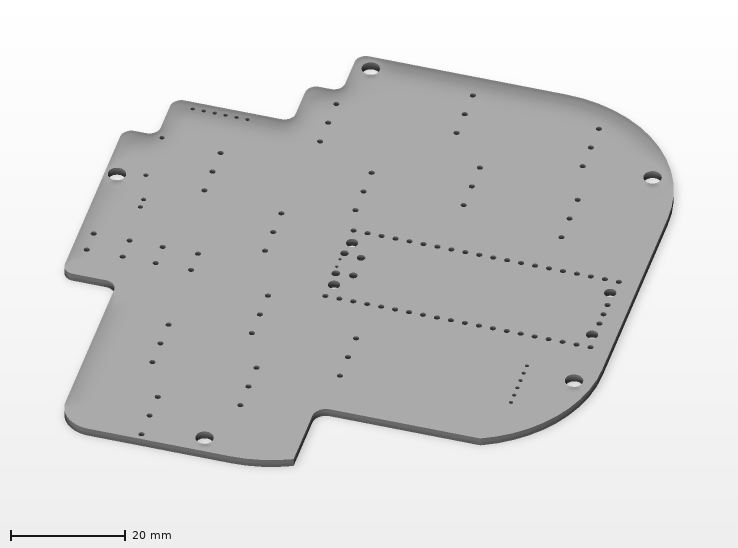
import cadquery as cq
import math

length = 107.2
width = 97.9
thickness = 1.6
top = length / 2
bottom = -length / 2
right = width / 2
left = -width / 2

lower_step_x = -42.8
middle_step_x = -21.1
upper_step_x = -15.0
lower_step_y = 23.5
middle_step_y = 33.6
upper_step_y = 43.5

left_notch_x = -38.8
left_notch_y = -15.4
right_notch_x = 3.6
right_notch_y = -37.0

step_radius = 2.0
right_notch_radius = 2.5
foot_radius = 5.7
upper_sweep_radius = 26.0
upper_sweep_x = right - upper_sweep_radius
upper_sweep_y = top - upper_sweep_radius
lower_sweep_radius = 25.4
lower_sweep_x = right - lower_sweep_radius
lower_sweep_y = -13.6
foot_sweep_radius = 26.0
foot_sweep_x = -7.2
foot_sweep_y = bottom + foot_sweep_radius

screw_diameter = 3.2
module_mount_diameter = 2.1
usb_peg_diameter = 1.5
pin_diameter = 1.1
lead_diameter = 0.9
connector_diameter = 0.8
usb_pin_diameter = 0.6

screw_points = [(-11.8, 50.6), (43.4, 37.0), (-46.7, 11.8), (45.0, -17.9), (-12.9, -50.2)]

triple_span = 10.2
triple_centers = [
    (7.3, 43.7),
    (30.9, 41.5),
    (-15.0, 35.0),
    (13.7, 25.9),
    (32.5, 22.6),
    (-4.1, 19.4),
    (-30.9, 17.0),
    (-16.3, 4.8),
    (-12.5, -16.5),
    (5.4, -22.9),
    (-27.1, -28.6),
    (-9.2, -35.2),
    (-23.7, -47.3),
]

grid_columns = [-46.3, -39.8, -33.8, -27.3]
grid_rows = [-4.3, -8.7]

lead_pairs = [(-41.8, 18.0, 10.2), (-40.4, 5.7, 2.0)]

connector_pins = 6
connector_span = 10.0
top_connector_center = (-33.8, 31.8)
side_connector_center = (36.0, -21.4)

module_x = 21.2
module_y = 0.2
header_pins = 20
header_length = 48.2
header_pitch = header_length / (header_pins - 1)
header_row_spacing = 17.8
mount_spacing_x = 47.0
mount_spacing_y = 11.4
end_header_x = 45.1
end_header_pins = 3
usb_outer_x = -2.8
usb_outer_spacing = 5.5
usb_inner_x = 0.3
usb_inner_spacing = 4.8
usb_pin_x = -3.1
usb_pin_spacing = 2.0


def arc_point(center_x, center_y, radius, angle):
    """Point on a circle at an angle in degrees, counter-clockwise from +X."""
    turn = math.radians(angle)
    return (center_x + radius * math.cos(turn), center_y + radius * math.sin(turn))


def line_of_points(center, span, count, along_x=False):
    """Evenly spaced points on a line parallel to X or Y."""
    x, y = center
    offsets = [span * (i / (count - 1) - 0.5) for i in range(count)]
    if along_x:
        return [(x + offset, y) for offset in offsets]
    return [(x, y + offset) for offset in offsets]


def round_corner(body, corner, radius):
    """Fillet the upright edge at one corner of the outline."""
    x, y = corner
    edge = body.edges("|Z").edges(cq.selectors.NearestToPointSelector((x, y, 0)))
    return edge.fillet(radius)


def board_blank():
    """Plate with the stepped, large-radius outline and rounded steps."""
    upper_middle = arc_point(upper_sweep_x, upper_sweep_y, upper_sweep_radius, 45)
    notch_angle = math.degrees(math.asin((right_notch_y - lower_sweep_y) / lower_sweep_radius))
    notch_end = arc_point(lower_sweep_x, lower_sweep_y, lower_sweep_radius, notch_angle)
    notch_middle = arc_point(lower_sweep_x, lower_sweep_y, lower_sweep_radius, notch_angle / 2)
    foot_angle = -math.degrees(math.acos((right_notch_x - foot_sweep_x) / foot_sweep_radius))
    foot_start = arc_point(foot_sweep_x, foot_sweep_y, foot_sweep_radius, foot_angle)
    foot_middle = arc_point(foot_sweep_x, foot_sweep_y, foot_sweep_radius, (foot_angle - 90) / 2)

    blank = (
        cq.Workplane("XY")
        .workplane(offset=-thickness / 2)
        .moveTo(upper_step_x, top)
        .lineTo(upper_sweep_x, top)
        .threePointArc(upper_middle, (right, upper_sweep_y))
        .lineTo(right, lower_sweep_y)
        .threePointArc(notch_middle, notch_end)
        .lineTo(right_notch_x, right_notch_y)
        .lineTo(*foot_start)
        .threePointArc(foot_middle, (foot_sweep_x, bottom))
        .lineTo(left_notch_x, bottom)
        .lineTo(left_notch_x, left_notch_y)
        .lineTo(left, left_notch_y)
        .lineTo(left, lower_step_y)
        .lineTo(lower_step_x, lower_step_y)
        .lineTo(lower_step_x, middle_step_y)
        .lineTo(middle_step_x, middle_step_y)
        .lineTo(middle_step_x, upper_step_y)
        .lineTo(upper_step_x, upper_step_y)
        .close()
        .extrude(thickness)
    )
    step_corners = [
        (upper_step_x, top),
        (upper_step_x, upper_step_y),
        (middle_step_x, upper_step_y),
        (middle_step_x, middle_step_y),
        (lower_step_x, middle_step_y),
        (lower_step_x, lower_step_y),
        (left, lower_step_y),
        (left, left_notch_y),
        (left_notch_x, left_notch_y),
    ]
    for corner in step_corners:
        blank = round_corner(blank, corner, step_radius)
    blank = round_corner(blank, (right_notch_x, right_notch_y), right_notch_radius)
    return round_corner(blank, (left_notch_x, bottom), foot_radius)


def drill(body, points, diameter):
    """Cut round holes through the full thickness."""
    cutters = (
        cq.Workplane("XY")
        .workplane(offset=-thickness)
        .pushPoints(points)
        .circle(diameter / 2)
        .extrude(2 * thickness)
    )
    return body.cut(cutters)


def pin_points():
    """Holes of the three-pin parts and the two-row grid."""
    points = [(x, y) for x in grid_columns for y in grid_rows]
    for center in triple_centers:
        points += line_of_points(center, triple_span, 3)
    return points


def lead_points():
    """Holes of the two-lead parts."""
    points = []
    for x, y, spacing in lead_pairs:
        points += line_of_points((x, y), spacing, 2)
    return points


def connector_points():
    """Holes of the two six-pin connectors."""
    top_row = line_of_points(top_connector_center, connector_span, connector_pins, along_x=True)
    return top_row + line_of_points(side_connector_center, connector_span, connector_pins)


def module_pin_points():
    """Two long pin rows and the short header at the +X end of the module."""
    end_header_length = header_pitch * (end_header_pins - 1)
    points = line_of_points((end_header_x, module_y), end_header_length, end_header_pins)
    for side in (-1, 1):
        row_center = (module_x, module_y + side * header_row_spacing / 2)
        points += line_of_points(row_center, header_length, header_pins, along_x=True)
    return points


def module_mount_points():
    """Four mounting holes at the corners of the module."""
    points = []
    for side in (-1, 1):
        end_center = (module_x + side * mount_spacing_x / 2, module_y)
        points += line_of_points(end_center, mount_spacing_y, 2)
    return points


def usb_peg_points():
    """Two pairs of holes for the pegs of the USB socket."""
    outer_pair = line_of_points((usb_outer_x, module_y), usb_outer_spacing, 2)
    return outer_pair + line_of_points((usb_inner_x, module_y), usb_inner_spacing, 2)


board = board_blank()
board = drill(board, screw_points, screw_diameter)
board = drill(board, pin_points(), pin_diameter)
board = drill(board, lead_points(), lead_diameter)
board = drill(board, connector_points(), connector_diameter)
board = drill(board, module_pin_points(), pin_diameter)
board = drill(board, module_mount_points(), module_mount_diameter)
board = drill(board, usb_peg_points(), usb_peg_diameter)
usb_pins = line_of_points((usb_pin_x, module_y), usb_pin_spacing, 2)
result = drill(board, usb_pins, usb_pin_diameter)